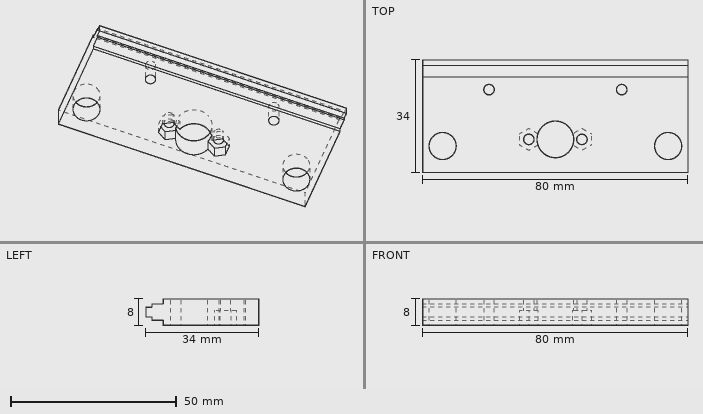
import cadquery as cq
import math

length = 80.0
depth = 34.0
thickness = 8.0

body_depth = 28.8
first_step_depth = 32.2
first_step_thickness = 5.0
second_step_thickness = 3.0

bore_diameter = 11.0
bore_y = 10.0
screw_diameter = 3.1
screw_offset = 8.0
hexagon_sides = 6
nut_across_flats = 5.7
nut_pocket_depth = 4.5

end_hole_diameter = 8.1
end_hole_offset = 34.0
end_hole_y = 8.0
rear_hole_diameter = 3.1
rear_hole_offset = 20.0
rear_hole_y = 25.0


def slab(slab_depth, slab_thickness):
    """Full-length block from the front face, centred in the plate thickness."""
    block = cq.Workplane("XY").box(length, slab_depth, slab_thickness, centered=(True, False, True))
    return block.translate((0, 0, thickness / 2))


def cylinders(centres, diameter, height):
    """Upright cylinders rising from the underside."""
    return cq.Workplane("XY").pushPoints(centres).circle(diameter / 2).extrude(height)


def nut_pockets(centres):
    """Hexagonal prisms rising from the underside, with two flats facing along X."""
    across_corners = nut_across_flats / math.cos(math.pi / hexagon_sides)
    hexagon = cq.Sketch().regularPolygon(across_corners / 2, hexagon_sides)
    return cq.Workplane("XY").pushPoints(centres).placeSketch(hexagon).extrude(nut_pocket_depth)


def mirrored_pair(offset, y):
    """Two points placed symmetrically about the X centre."""
    return [(-offset, y), (offset, y)]


plate = slab(body_depth, thickness)
plate = plate.union(slab(first_step_depth, first_step_thickness))
plate = plate.union(slab(depth, second_step_thickness))

screw_centres = mirrored_pair(screw_offset, bore_y)
end_centres = mirrored_pair(end_hole_offset, end_hole_y)
rear_centres = mirrored_pair(rear_hole_offset, rear_hole_y)
plate = plate.cut(cylinders([(0, bore_y)], bore_diameter, thickness))
plate = plate.cut(cylinders(screw_centres, screw_diameter, thickness))
plate = plate.cut(cylinders(end_centres, end_hole_diameter, thickness))
plate = plate.cut(cylinders(rear_centres, rear_hole_diameter, thickness))

plate = plate.cut(nut_pockets(screw_centres))

result = plate